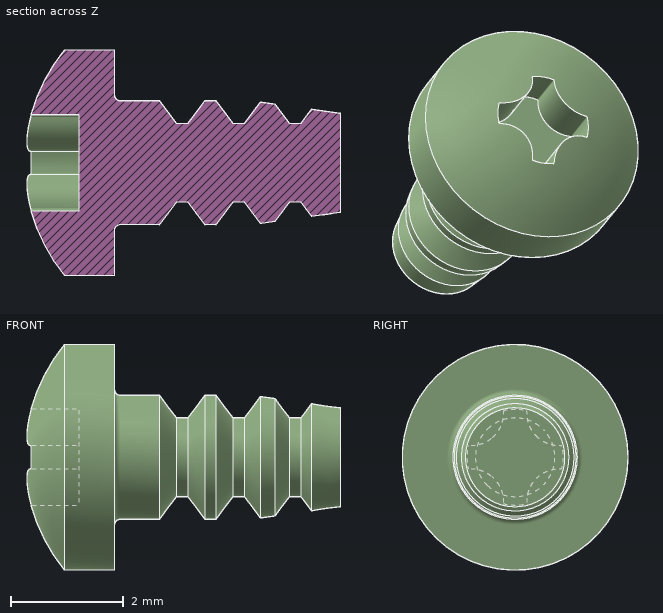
import cadquery as cq
import math


head_radius = 2.0
head_height = 1.6
dome_radius = 3.17
head_base_x = 1.555

tip_x = 5.56
shank_radius = 1.1
neck_fillet = 0.1
tip_radius = 0.88
tip_taper_angle = 8.0

core_radius = 0.7
first_groove_x = 2.35
groove_pitch = 1.0
groove_count = 3
groove_flank_length = 0.3
groove_floor_length = 0.2

recess_radius = 0.85
arm_half_width = 0.205
scallop_center = 0.785
recess_floor_x = 0.925
arm_corner_fillet = 0.03

apex_x = head_base_x - head_height


def revolve_about_x(profile):
    return profile.close().revolve(360, (0, 0, 0), (1, 0, 0))


def make_blank():
    """Domed head and ungrooved shank with a tapered tip."""
    dome_center_x = apex_x + dome_radius
    rim_x = dome_center_x - math.sqrt(dome_radius**2 - head_radius**2)
    mid_angle = math.asin(head_radius / dome_radius) / 2
    dome_mid = (
        dome_center_x - dome_radius * math.cos(mid_angle),
        dome_radius * math.sin(mid_angle),
    )
    fillet_center = (head_base_x + neck_fillet, shank_radius + neck_fillet)
    fillet_offset = neck_fillet * math.sqrt(0.5)
    fillet_mid = (fillet_center[0] - fillet_offset, fillet_center[1] - fillet_offset)
    taper_length = (shank_radius - tip_radius) / math.tan(math.radians(tip_taper_angle))
    profile = (
        cq.Workplane("XY")
        .moveTo(apex_x, 0)
        .threePointArc(dome_mid, (rim_x, head_radius))
        .lineTo(head_base_x, head_radius)
        .lineTo(head_base_x, fillet_center[1])
        .threePointArc(fillet_mid, (fillet_center[0], shank_radius))
        .lineTo(tip_x - taper_length, shank_radius)
        .lineTo(tip_x, tip_radius)
        .lineTo(tip_x, 0)
    )
    return revolve_about_x(profile)


def make_groove(start_x):
    """Ring with sloping flanks and a flat floor at the core radius."""
    floor_start = start_x + groove_flank_length
    floor_end = floor_start + groove_floor_length
    profile = cq.Workplane("XY").polyline([
        (start_x, shank_radius),
        (floor_start, core_radius),
        (floor_end, core_radius),
        (floor_end + groove_flank_length, shank_radius),
    ])
    return revolve_about_x(profile)


def is_arm_corner(edge):
    """True for an edge where an arm's flank meets its round end, not for the cylinder seam."""
    center = edge.Center()
    on_round_end = math.isclose(math.hypot(center.y, center.z), recess_radius, abs_tol=0.0005)
    off_arm_middle = min(abs(center.y), abs(center.z)) > arm_half_width / 2
    return on_round_end and off_arm_middle


def make_recess():
    """Round plug with four scalloped corners, leaving a cross."""
    depth = recess_floor_x - apex_x
    face = cq.Workplane("YZ", origin=(apex_x, 0, 0))
    recess = face.circle(recess_radius).extrude(depth)
    scallop_radius = scallop_center - arm_half_width
    block_size = recess_radius - arm_half_width
    block_center = (recess_radius + arm_half_width) / 2
    for side_y in (-1, 1):
        for side_z in (-1, 1):
            block = (
                face.center(side_y * block_center, side_z * block_center)
                .rect(block_size, block_size)
                .extrude(depth)
            )
            inner_corner = (
                apex_x + depth / 2,
                side_y * arm_half_width,
                side_z * arm_half_width,
            )
            nearest_edge = cq.selectors.NearestToPointSelector(inner_corner)
            block = block.edges("|X").edges(nearest_edge).fillet(scallop_radius)
            recess = recess.cut(block)
    return recess.edges("|X").filter(is_arm_corner).fillet(arm_corner_fillet)


result = make_blank()
for index in range(groove_count):
    result = result.cut(make_groove(first_groove_x + index * groove_pitch))
result = result.cut(make_recess())